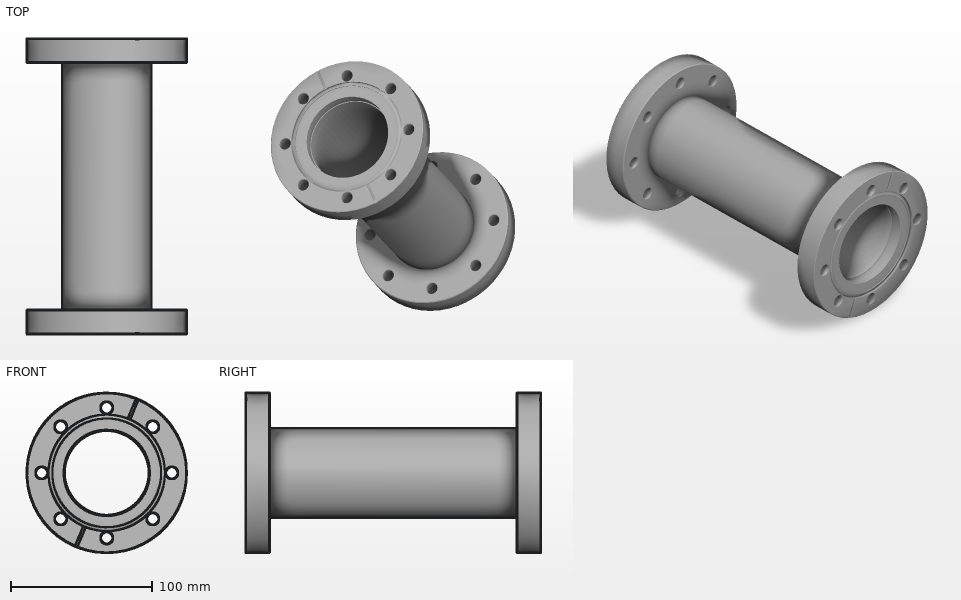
import cadquery as cq

LENGTH = 209.5
END = LENGTH / 2

FLANGE_DIAMETER = 113.5
FLANGE_RADIUS = FLANGE_DIAMETER / 2
FLANGE_THICKNESS = 17.5
FACE_CHAMFER = 0.5
REAR_CHAMFER = 0.6
BORE_RADIUS = 30.4
BORE_CHAMFER = 0.2

BOLT_COUNT = 8
BOLT_CIRCLE_RADIUS = 46.1
BOLT_HOLE_DIAMETER = 8.2
HOLE_CHAMFER = 0.5

RECESS_RADIUS = 41.3
KNIFE_RADIUS = 38.5
KNIFE_TIP_DEPTH = 0.6
RECESS_DEPTH = 1.7
FLOOR_DEPTH = 1.3

GROOVE_WIDTH = 1.9
GROOVE_DEPTH = 0.8
GROOVE_ANGLE = 180 / BOLT_COUNT
GROOVE_OVERRUN = 1.0

TUBE_OUTER_RADIUS = 31.9
TUBE_INNER_RADIUS = 29.8
TUBE_SEAT_DEPTH = 9.6


def revolve_about_y(outline):
    """Solid of revolution about Y from (radius, y) points."""
    return cq.Workplane("XY").polyline(outline).close().revolve(360, (0, 0, 0), (0, 1, 0))


def inward(depth):
    """Y of a point at a given depth behind the face of the -Y flange."""
    return depth - END


def rim_outline():
    """Chamfered flange rim, from the gasket recess mouth round to the tube hole."""
    return [
        (RECESS_RADIUS, inward(0)),
        (FLANGE_RADIUS - FACE_CHAMFER, inward(0)),
        (FLANGE_RADIUS, inward(FACE_CHAMFER)),
        (FLANGE_RADIUS, inward(FLANGE_THICKNESS - REAR_CHAMFER)),
        (FLANGE_RADIUS - REAR_CHAMFER, inward(FLANGE_THICKNESS)),
        (TUBE_OUTER_RADIUS, inward(FLANGE_THICKNESS)),
        (TUBE_OUTER_RADIUS, inward(TUBE_SEAT_DEPTH)),
    ]


def knife_outline():
    """Sealing side, from the bore across the floor and knife edge to the recess root."""
    return [
        (BORE_RADIUS, inward(TUBE_SEAT_DEPTH)),
        (BORE_RADIUS, inward(FLOOR_DEPTH + BORE_CHAMFER)),
        (BORE_RADIUS + BORE_CHAMFER, inward(FLOOR_DEPTH)),
        (KNIFE_RADIUS, inward(FLOOR_DEPTH)),
        (KNIFE_RADIUS, inward(KNIFE_TIP_DEPTH)),
        (RECESS_RADIUS, inward(RECESS_DEPTH)),
    ]


def cut_bolt_holes(flange):
    """Drill the bolt circle through a flange at the -Y end, chamfering both hole mouths."""
    hole_radius = BOLT_HOLE_DIAMETER / 2
    mouth_radius = hole_radius + HOLE_CHAMFER
    drill = revolve_about_y([
        (0, inward(0)),
        (mouth_radius, inward(0)),
        (hole_radius, inward(HOLE_CHAMFER)),
        (hole_radius, inward(FLANGE_THICKNESS - HOLE_CHAMFER)),
        (mouth_radius, inward(FLANGE_THICKNESS)),
        (0, inward(FLANGE_THICKNESS)),
    ]).translate((BOLT_CIRCLE_RADIUS, 0, 0))
    for index in range(BOLT_COUNT):
        flange = flange.cut(drill.rotate((0, 0, 0), (0, 1, 0), index * 360 / BOLT_COUNT))
    return flange


def cut_leak_grooves(flange):
    """Cut the two opposite leak-check grooves from the recess out to the rim."""
    length = FLANGE_RADIUS - RECESS_RADIUS + 2 * GROOVE_OVERRUN
    groove = (
        cq.Workplane("XY")
        .box(GROOVE_WIDTH, GROOVE_DEPTH, length, centered=(True, False, False))
        .translate((0, inward(0), RECESS_RADIUS - GROOVE_OVERRUN))
    )
    for angle in (GROOVE_ANGLE, GROOVE_ANGLE + 180):
        flange = flange.cut(groove.rotate((0, 0, 0), (0, 1, 0), angle))
    return flange


def make_fixed_flange():
    """One-piece flange at the +Y end."""
    flange = revolve_about_y(knife_outline() + rim_outline())
    flange = cut_leak_grooves(cut_bolt_holes(flange))
    return flange.mirror("XZ")


def make_rotatable_ring():
    """Bolt ring at the -Y end, with a stepped bore that holds the hub."""
    hub_seat = [(RECESS_RADIUS, inward(TUBE_SEAT_DEPTH))]
    ring = revolve_about_y(rim_outline() + hub_seat)
    return cut_leak_grooves(cut_bolt_holes(ring))


def make_hub():
    """Knife-edge disc that sits inside the rotatable ring."""
    return revolve_about_y(knife_outline() + [(RECESS_RADIUS, inward(TUBE_SEAT_DEPTH))])


def make_tube():
    """Plain tube between the two flange seats."""
    tube_length = LENGTH - 2 * TUBE_SEAT_DEPTH
    return (
        cq.Workplane("XZ", origin=(0, tube_length / 2, 0))
        .circle(TUBE_OUTER_RADIUS)
        .circle(TUBE_INNER_RADIUS)
        .extrude(tube_length)
    )


fixed_flange = make_fixed_flange()
rotatable_ring = make_rotatable_ring()
hub = make_hub()
tube = make_tube()

result = cq.Compound.makeCompound([
    fixed_flange.val(),
    rotatable_ring.val(),
    hub.val(),
    tube.val(),
])